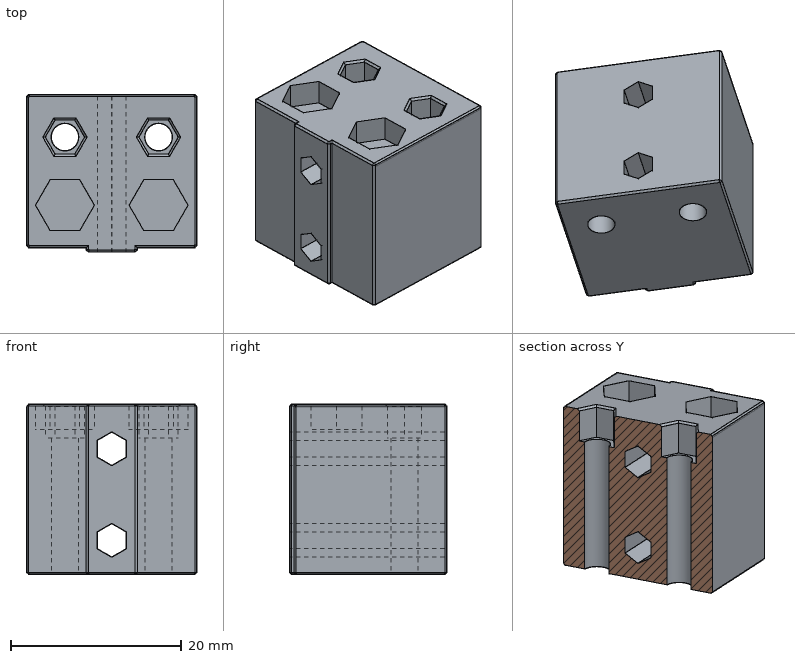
import cadquery as cq
import math

width = 20.0
height = 20.0
block_depth = 18.0
pad_width = 6.0
pad_thickness = 0.5
edge_chamfer = 0.25
side_bevel_inset = 0.1
side_bevel_drop = 0.35

front_y = -block_depth / 2
back_y = block_depth / 2
pad_y = front_y - pad_thickness

column_x = 5.5
row_inset = 5.0
pocket_flats = 6.0
pocket_depth = 3.0
socket_flats = 4.0
socket_depth = 4.0
mouth_flats = 4.5
bolt_diameter = 3.2

tunnel_flats = 3.4
corner_up_angle = 30.0
tunnel_heights = (4.0, 14.75)


def corners_from_flats(flats):
    """Distance across the corners of a hexagon with the given distance across flats."""
    return flats / math.cos(math.pi / 6)


def make_body():
    """Chamfered block and pad, full height."""
    outline = (
        cq.Workplane("XY")
        .moveTo(-width / 2, back_y)
        .lineTo(-width / 2, front_y)
        .lineTo(-pad_width / 2, front_y)
        .lineTo(-pad_width / 2, pad_y)
        .lineTo(pad_width / 2, pad_y)
        .lineTo(pad_width / 2, front_y)
        .lineTo(width / 2, front_y)
        .lineTo(width / 2, back_y)
        .close()
    )
    body = outline.extrude(height)
    pad_foot = cq.selectors.BoxSelector(
        (-pad_width, front_y - pad_thickness / 2, 0),
        (pad_width, front_y + pad_thickness / 2, height),
    )
    upright_edges = cq.StringSyntaxSelector("|Z")
    body = body.edges(upright_edges - pad_foot).chamfer(edge_chamfer)
    return body.faces("<Z or >Z").edges().chamfer(edge_chamfer)


def make_side_bevel(side):
    """Wedge removed along the top edge of one side: -1 for left, 1 for right."""
    corner_x = side * width / 2
    return (
        cq.Workplane("XZ", origin=(0, back_y, 0))
        .moveTo(corner_x, height)
        .lineTo(corner_x - side * side_bevel_inset, height)
        .lineTo(corner_x, height - side_bevel_drop)
        .close()
        .extrude(block_depth)
    )


def columns_on_top(row_y):
    """The two column centres on the top face, at the given Y."""
    row = cq.Workplane("XY", origin=(0, row_y, height))
    return row.pushPoints([(-column_x, 0), (column_x, 0)])


def make_front_pockets():
    """Blind hexagonal pockets in the row nearer the front."""
    pocket_corners = corners_from_flats(pocket_flats)
    return columns_on_top(front_y + row_inset).polygon(6, pocket_corners).extrude(-pocket_depth)


def make_bolt_holes():
    """Hexagonal sockets with bevelled mouths over round through bores."""
    row_y = back_y - row_inset
    socket_corners = corners_from_flats(socket_flats)
    mouth_corners = corners_from_flats(mouth_flats)
    mouth_depth = (mouth_flats - socket_flats) / 2
    sockets = columns_on_top(row_y).polygon(6, socket_corners).extrude(-socket_depth)
    mouths = columns_on_top(row_y).polygon(6, mouth_corners).extrude(-mouth_depth, taper=45)
    bores = columns_on_top(row_y).circle(bolt_diameter / 2).extrude(-height)
    return sockets.union(mouths).union(bores)


def make_tunnel(center_z):
    """Hexagonal prism along Y with one corner pointing up."""
    tunnel = (
        cq.Workplane("XZ", origin=(0, back_y, center_z))
        .transformed(rotate=(0, 0, corner_up_angle))
        .polygon(6, corners_from_flats(tunnel_flats))
    )
    return tunnel.extrude(block_depth + pad_thickness)


result = make_body()
for side in (-1, 1):
    result = result.cut(make_side_bevel(side))
result = result.cut(make_front_pockets()).cut(make_bolt_holes())
for tunnel_z in tunnel_heights:
    result = result.cut(make_tunnel(tunnel_z))